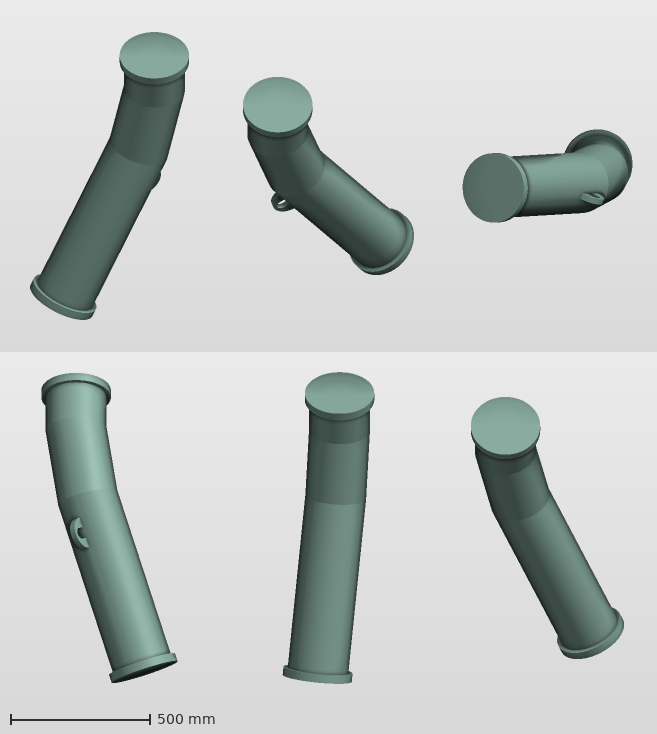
import cadquery as cq
import math

PIPE_DIAMETER = 219.1
FLANGE_DIAMETER = 250.0
FLANGE_THICKNESS = 30.0
STRAIGHT_LENGTH = 500.0

BEND_RADIUS = 1000.0
BEND_ANGLE = 30.0
JOINT_COUNT = 2

LUG_RADIUS = 57.5
LUG_THICKNESS = 20.0
LUG_HEIGHT_ON_LEG = 537.0
SLOT_WIDTH = 40.0
SLOT_REACH = 25.0

PIPE_RADIUS = PIPE_DIAMETER / 2
JOINT_ANGLE = BEND_ANGLE / JOINT_COUNT
TANGENT_LENGTH = BEND_RADIUS * math.tan(math.radians(JOINT_ANGLE / 2))
TOP_LENGTH = FLANGE_THICKNESS + TANGENT_LENGTH
MIDDLE_LENGTH = 2 * TANGENT_LENGTH
LEG_LENGTH = TANGENT_LENGTH + STRAIGHT_LENGTH + FLANGE_THICKNESS


def downward(tilt):
    """Unit vector pointing down, tilted towards -Y by the given angle in degrees."""
    angle = math.radians(tilt)
    return cq.Vector(0, -math.sin(angle), -math.cos(angle))


LEG_AXIS = downward(BEND_ANGLE)
TOP_CENTRE = cq.Vector(0, 0, 0)
UPPER_JOINT = TOP_CENTRE + downward(0) * TOP_LENGTH
LOWER_JOINT = UPPER_JOINT + downward(JOINT_ANGLE) * MIDDLE_LENGTH
LEG_END = LOWER_JOINT + LEG_AXIS * LEG_LENGTH


def make_pipe():
    """Solid round bar along the centreline, mitred at both joints."""
    corners = [TOP_CENTRE, UPPER_JOINT, LOWER_JOINT, LEG_END]
    centreline = cq.Workplane("YZ").polyline([(p.y, p.z) for p in corners])
    return cq.Workplane("XY").circle(PIPE_RADIUS).sweep(centreline, transition="right")


def make_flange(face_centre, inward):
    """Round end plate with its outer face at face_centre."""
    return cq.Workplane(
        cq.Solid.makeCylinder(FLANGE_DIAMETER / 2, FLANGE_THICKNESS, face_centre, inward)
    )


def make_lug():
    """Round plate centred on the pipe surface, with a slot running out from the pipe."""
    outward = cq.Vector(0, -LEG_AXIS.z, LEG_AXIS.y)
    centre = LEG_END - LEG_AXIS * LUG_HEIGHT_ON_LEG + outward * PIPE_RADIUS
    plane = cq.Plane(origin=centre, xDir=outward, normal=(1, 0, 0))
    slot_length = 2 * SLOT_REACH + SLOT_WIDTH
    plate = cq.Workplane(plane).circle(LUG_RADIUS).extrude(LUG_THICKNESS / 2, both=True)
    slot = cq.Workplane(plane).slot2D(slot_length, SLOT_WIDTH).extrude(LUG_THICKNESS / 2, both=True)
    return plate.cut(slot)


result = (
    make_lug()
    .union(make_pipe())
    .union(make_flange(TOP_CENTRE, downward(0)))
    .union(make_flange(LEG_END, LEG_AXIS * -1))
)